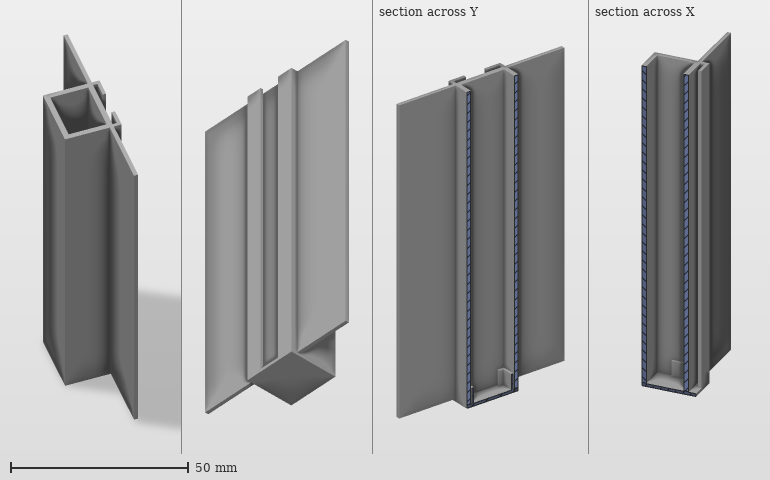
import cadquery as cq

total_height = 101.0
total_depth = 17.0
wing_span = 58.0

cap_thickness = 1.0
housing_height = total_height - cap_thickness
box_width = 18.2
side_wall = 1.5
cavity_width = box_width - 2 * side_wall

channel_depth = 2.3
wing_thickness = 1.2
back_wall = 1.6
lip_thickness = 1.0
channel_wall = 1.0
channel_opening = 7.3
web_back = total_depth - channel_depth
cavity_depth = web_back - back_wall

cover_thickness = 1.6

tab_clearance = 0.2
tab_thickness = 0.8
tab_arm = 1.5
tab_leg = 6.5
tab_height = 5.0


def block(width, front, back, bottom, height):
    """Box centred on X, between two depths, standing on the given level."""
    return (
        cq.Workplane("XY")
        .box(width, back - front, height, centered=(True, False, False))
        .translate((0, front, bottom))
    )


def make_housing():
    """Winged profile with a square cavity in front and a lipped channel behind."""
    base = cap_thickness
    body = block(box_width, 0, total_depth, base, housing_height)
    wings = block(wing_span, web_back - wing_thickness, web_back, base, housing_height)
    cavity = block(cavity_width, 0, cavity_depth, base, housing_height)
    channel_width = box_width - 2 * channel_wall
    channel = block(channel_width, web_back, total_depth - lip_thickness, base, housing_height)
    opening = block(channel_opening, web_back, total_depth, base, housing_height)
    return body.union(wings).cut(cavity).cut(channel).cut(opening)


def make_cover():
    """Flat strip held between the side walls, flush with the front face."""
    return block(cavity_width, 0, cover_thickness, cap_thickness, housing_height)


def make_tab():
    """L-shaped tab that fits the back left corner of the cavity."""
    left = -cavity_width / 2 + tab_clearance
    back = cavity_depth - tab_clearance
    return (
        cq.Workplane("XY", origin=(left, back, cap_thickness))
        .polyline([
            (0, 0),
            (tab_thickness + tab_arm, 0),
            (tab_thickness + tab_arm, -tab_thickness),
            (tab_thickness, -tab_thickness),
            (tab_thickness, -tab_leg),
            (0, -tab_leg),
        ])
        .close()
        .extrude(tab_height)
    )


def make_end_cap():
    """Plate under the box, with a mirrored pair of tabs reaching into the cavity."""
    plate = block(box_width, 0, total_depth, 0, cap_thickness)
    tab = make_tab()
    return plate.union(tab).union(tab.mirror("YZ"))


housing = make_housing()
cover = make_cover()
end_cap = make_end_cap()

result = cq.Compound.makeCompound([housing.val(), cover.val(), end_cap.val()])